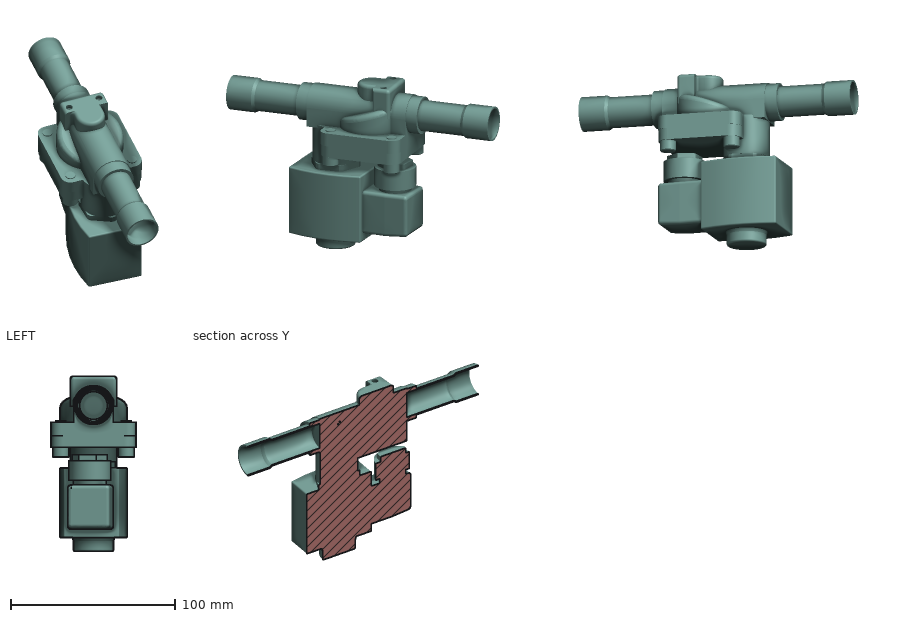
import cadquery as cq
import math


pipe_half_length = 85.5
socket_length = 16.2
socket_taper = 1.9
socket_diameter = 21.2
tube_diameter = 19.0
tube_bore = 17.0
socket_bore = 19.2
sleeve_diameter = 23.0
sleeve_end = 39.5

body_width = 24.3
body_radius = body_width / 2
body_right = 32.1
body_bottom = -12.0
body_step_x = 24.8

flange_size = 52.0
flange_x = -6.5
flange_top = -10.1
flange_seam = -18.3
flange_bottom = -25.5
upper_corner_radius = 6.0
lower_corner_radius = 7.0

body_left = flange_x - flange_size / 2

screw_spacing = 40.0
screw_tip_diameter = 6.0
screw_tip_height = 0.7
screw_head_diameter = 10.0
screw_head_bottom = -31.6
screw_head_chamfer = 0.5

turret_x = -6.3
turret_radius = 20.5
turret_slope = 18.2
turret_height_at_axis = 1.5
turret_fillet = 3.2

block_left = -22.7
block_right = -11.6
block_width = 28.4
block_bottom = -0.3
block_top = 18.0
block_fillet = 2.2
ear_corner_radius = 1.2
tongue_axis_x = -6.2
tongue_radius = 9.0
tongue_root_radius = 1.9
block_hole_diameter = 4.3
block_hole_depth = 2.5
drilled_hole_place = (-17.3, 10.0)
drill_tip_angle = 118.0
flat_hole_place = (-15.7, -10.0)

stem_x = 17.8
stem_diameter = 28.4
stem_bottom = -34.2
stem_hex_flats = 27.7
stem_hex_rounding = 30.8
stem_hex_turn = 3.3

coil_turn = -3.3
coil_half_length = 24.1
coil_end_half_width = 16.8
coil_mid_half_width = 20.5
coil_top = -38.0
coil_bottom = -80.5
coil_fillet = 1.0

nub_diameter = 24.5
nub_root_diameter = 25.6
nub_root_bottom = -82.6
nub_bottom = -89.0
nub_fillet = 1.2

plug_end = 53.2
plug_bend = 38.8
plug_half_width = 13.5
plug_end_half_width = 12.7
plug_top = -48.4
plug_bottom = -75.4
plug_end_bottom = -74.4
plug_fillet = 2.0

gland_neck_diameter = 20.0
gland_distance = 39.8
gland_diameter = 25.6
gland_bottom = -45.7
gland_top = -33.5
gland_hex_top = -30.0
gland_hex_corners = 21.7
gland_hex_turn = 22.0


def rod_x(diameter, start, end):
    """Solid cylinder along the pipe axis."""
    return cq.Workplane("YZ", origin=(start, 0, 0)).circle(diameter / 2).extrude(end - start)


def rod_z(x, y, diameter, bottom, top):
    """Solid upright cylinder."""
    return cq.Workplane("XY", origin=(x, y, bottom)).circle(diameter / 2).extrude(top - bottom)


def make_pipe_stub(inner_end):
    """Left-hand stub with its expanded socket, hollow as far as the body face."""
    socket_inner = -pipe_half_length + socket_length
    taper_end = socket_inner + socket_taper
    outline = [
        (-pipe_half_length, socket_bore / 2),
        (-pipe_half_length, socket_diameter / 2),
        (socket_inner, socket_diameter / 2),
        (taper_end, tube_diameter / 2),
        (-sleeve_end, tube_diameter / 2),
        (-sleeve_end, sleeve_diameter / 2),
        (inner_end, sleeve_diameter / 2),
        (inner_end, tube_bore / 2),
        (taper_end, tube_bore / 2),
        (socket_inner, socket_bore / 2),
    ]
    return cq.Workplane("XY").polyline(outline).close().revolve(360, (0, 0, 0), (1, 0, 0))


def make_body():
    """Round-topped body with flat sides, stepped down at its right end."""
    side_outline = [
        (body_left, 0),
        (body_right, 0),
        (body_right, body_bottom),
        (body_step_x, body_bottom),
        (body_step_x, flange_top),
        (body_left, flange_top),
    ]
    flat_sides = cq.Workplane("XZ").polyline(side_outline).close().extrude(body_radius, both=True)
    return rod_x(body_width, body_left, body_right).union(flat_sides)


def flange_layer(bottom, top, corner_radius):
    plate = cq.Workplane("XY", origin=(flange_x, 0, bottom)).rect(flange_size, flange_size)
    return plate.extrude(top - bottom).edges("|Z").fillet(corner_radius)


def make_flange():
    """Two stacked plates with a screw through each corner."""
    flange = flange_layer(flange_seam, flange_top, upper_corner_radius)
    flange = flange.union(flange_layer(flange_bottom, flange_seam, lower_corner_radius))
    for side_x in (-1, 1):
        for side_y in (-1, 1):
            x = flange_x + side_x * screw_spacing / 2
            y = side_y * screw_spacing / 2
            tip = rod_z(x, y, screw_tip_diameter, flange_seam, flange_top + screw_tip_height)
            head = rod_z(x, y, screw_head_diameter, screw_head_bottom, flange_bottom)
            head = head.faces("<Z").chamfer(screw_head_chamfer)
            flange = flange.union(tip).union(head)
    return flange


def make_turret():
    """Cylinder on the flange, cut by a plane that falls toward +X."""
    fall = turret_radius * math.tan(math.radians(turret_slope))
    left = turret_x - turret_radius
    right = turret_x + turret_radius
    side_outline = [
        (left, flange_top),
        (right, flange_top),
        (right, turret_height_at_axis - fall),
        (left, turret_height_at_axis + fall),
    ]
    wedge = cq.Workplane("XZ").polyline(side_outline).close().extrude(turret_radius, both=True)
    column = rod_z(turret_x, 0, 2 * turret_radius, flange_top, block_top)
    return column.intersect(wedge).faces(">Z").edges().fillet(turret_fillet)


def make_tongue():
    """Round-nosed tongue of the block, blended into the block on its -Y side."""
    root_end = block_right + tongue_root_radius
    root_mid = tongue_root_radius * math.sqrt(0.5)
    root_y = -tongue_radius - tongue_root_radius
    tongue = (
        cq.Workplane("XY")
        .moveTo(block_right, tongue_radius)
        .lineTo(tongue_axis_x, tongue_radius)
        .threePointArc((tongue_axis_x + tongue_radius, 0), (tongue_axis_x, -tongue_radius))
        .lineTo(root_end, -tongue_radius)
        .threePointArc((root_end - root_mid, root_y + root_mid), (block_right, root_y))
        .close()
        .extrude(block_top)
    )
    return tongue.faces(">Z").edges("not <X").fillet(block_fillet)


def make_block():
    """Block straddling the body, with a tongue and two blind holes."""
    length = block_right - block_left
    height = block_top - block_bottom
    plain = cq.Workplane("XY").box(length, block_width, height, centered=(False, True, False))
    plain = plain.translate((block_left, 0, block_bottom))
    rounded = plain.edges("(|Z and <X) or (>Z and (<X or <Y or >Y))").fillet(block_fillet)
    block = rounded.intersect(plain.edges("|Z and >X and >Y").fillet(ear_corner_radius))
    block = block.union(make_tongue())

    hole_bottom = block_top - block_hole_depth
    hole_radius = block_hole_diameter / 2
    tip_height = hole_radius / math.tan(math.radians(drill_tip_angle / 2))
    drill_tip = cq.Solid.makeCone(
        hole_radius, 0, tip_height, pnt=cq.Vector(*drilled_hole_place, hole_bottom), dir=cq.Vector(0, 0, -1)
    )
    for x, y in (drilled_hole_place, flat_hole_place):
        block = block.cut(rod_z(x, y, block_hole_diameter, hole_bottom, block_top))
    return block.cut(cq.Workplane(drill_tip))


def make_stem():
    """Stem below the body and the hexagon with rounded corners under it."""
    stem = rod_z(stem_x, 0, stem_diameter, stem_bottom, flange_top)
    hex_corners = stem_hex_flats / math.cos(math.radians(30))
    hexagon = cq.Workplane("XY").polygon(6, hex_corners).extrude(stem_bottom - coil_top)
    hexagon = hexagon.rotate((0, 0, 0), (0, 0, 1), stem_hex_turn).translate((stem_x, 0, coil_top))
    return stem.union(hexagon.intersect(rod_z(stem_x, 0, stem_hex_rounding, coil_top, stem_bottom)))


def make_coil():
    """Barrel-sided coil housing centred on the Z axis."""
    return (
        cq.Workplane("XY", origin=(0, 0, coil_bottom))
        .moveTo(-coil_half_length, -coil_end_half_width)
        .threePointArc((0, -coil_mid_half_width), (coil_half_length, -coil_end_half_width))
        .lineTo(coil_half_length, coil_end_half_width)
        .threePointArc((0, coil_mid_half_width), (-coil_half_length, coil_end_half_width))
        .close()
        .extrude(coil_top - coil_bottom)
        .edges()
        .fillet(coil_fillet)
    )


def make_nub():
    """Round nub under the coil, flared where it meets the coil."""
    nub = rod_z(0, 0, nub_diameter, nub_bottom, coil_bottom).faces("<Z").edges().fillet(nub_fillet)
    flare = (
        cq.Workplane("XY", origin=(0, 0, nub_root_bottom))
        .circle(nub_diameter / 2)
        .workplane(offset=coil_bottom - nub_root_bottom)
        .circle(nub_root_diameter / 2)
        .loft()
    )
    return nub.union(flare)


def plug_section(x, half_width, bottom):
    """Rounded rectangle across the plug at the given X."""
    height = plug_top - bottom
    centre = cq.Vector(x, 0, plug_top - height / 2)
    return cq.Sketch().rect(2 * half_width, height).vertices().fillet(plug_fillet).moved(
        cq.Location(cq.Plane(centre, (0, 1, 0), (1, 0, 0)))
    )


def make_plug():
    """Rounded plug housing, tapering beyond its bend."""
    end = plug_section(-plug_end, plug_end_half_width, plug_end_bottom)
    bend = plug_section(-plug_bend, plug_half_width, plug_bottom)
    tapered = cq.Workplane("XY").placeSketch(end, bend).loft()
    tapered = tapered.faces("<X").edges().fillet(plug_fillet)
    inside_coil = plug_section(0, plug_half_width, plug_bottom)
    straight = cq.Workplane("XY").placeSketch(bend, inside_coil).loft()
    return tapered.union(straight)


def make_gland():
    """Round gland with a hexagon on top."""
    neck = rod_z(-gland_distance, 0, gland_neck_diameter, plug_top, gland_bottom)
    collar = rod_z(-gland_distance, 0, gland_diameter, gland_bottom, gland_top)
    hexagon = cq.Workplane("XY").polygon(6, gland_hex_corners).extrude(gland_hex_top - gland_top)
    hexagon = hexagon.rotate((0, 0, 0), (0, 0, 1), gland_hex_turn - coil_turn)
    return neck.union(collar).union(hexagon.translate((-gland_distance, 0, gland_top)))


left_stub = make_pipe_stub(body_left)
right_stub = make_pipe_stub(-body_right).mirror("YZ")
valve = make_body().union(left_stub).union(right_stub)
valve = valve.union(make_flange()).union(make_turret()).union(make_block()).union(make_stem())

actuator = make_coil().union(make_nub()).union(make_plug()).union(make_gland())
actuator = actuator.rotate((0, 0, 0), (0, 0, 1), coil_turn).translate((stem_x, 0, 0))

result = valve.union(actuator)